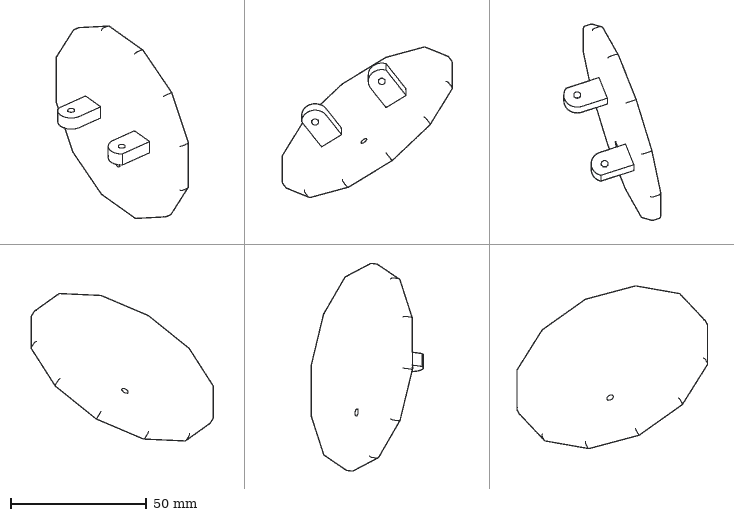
import cadquery as cq
import math

width_across_flats = 74.55
overall_depth = 19.4
side_count = 12
plate_thickness = 4.4
edge_radius = 1.2

tab_radius = 5.0
tab_thickness = 5.0
tab_spacing = 30.0
tab_outer_reach = 4.0
pivot_distance = overall_depth - plate_thickness - tab_radius

hole_diameter = 2.5
plate_hole_drop = 17.7


def make_plate():
    circumscribed_diameter = width_across_flats / math.cos(math.pi / side_count)
    half_side_angle = 180 / side_count
    plate = (
        cq.Workplane("XZ")
        .transformed(rotate=(0, 0, half_side_angle))
        .polygon(side_count, circumscribed_diameter)
        .extrude(-plate_thickness)
    )
    plate = plate.faces("<Y or >Y").edges().fillet(edge_radius)
    hole = (
        cq.Workplane("XZ")
        .center(0, -plate_hole_drop)
        .circle(hole_diameter / 2)
        .extrude(-plate_thickness)
    )
    return plate.cut(hole)


def make_right_tab():
    """Rounded tab whose outer side is cut flat, short of the full radius."""
    pivot_x = tab_spacing / 2
    inner_x = pivot_x - tab_radius
    outer_x = pivot_x + tab_outer_reach
    outer_arc_rise = math.sqrt(tab_radius**2 - tab_outer_reach**2)
    return (
        cq.Workplane("XY")
        .moveTo(inner_x, 0)
        .lineTo(inner_x, -pivot_distance)
        .threePointArc(
            (pivot_x, -pivot_distance - tab_radius),
            (outer_x, -pivot_distance - outer_arc_rise),
        )
        .lineTo(outer_x, 0)
        .close()
        .moveTo(pivot_x, -pivot_distance)
        .circle(hole_diameter / 2)
        .extrude(tab_thickness / 2, both=True)
    )


right_tab = make_right_tab()
left_tab = right_tab.mirror("YZ")
result = make_plate().union(right_tab).union(left_tab)